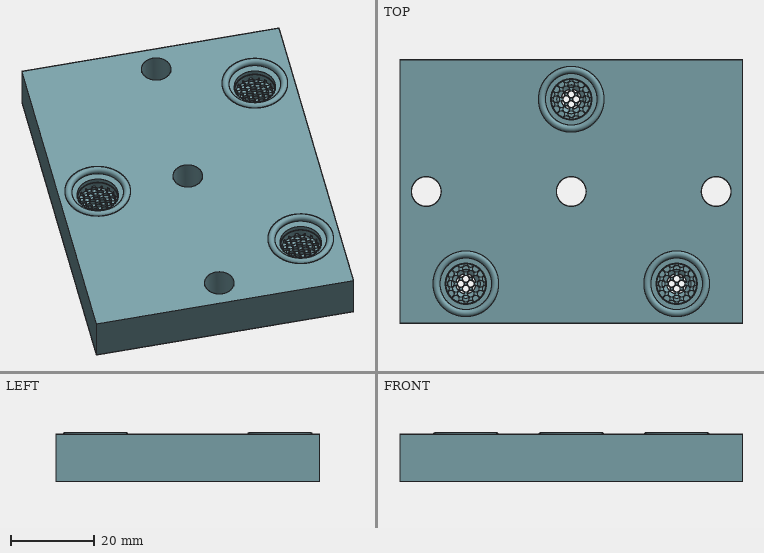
import cadquery as cq
import math

INCH = 25.4

plate_length = 3.25 * INCH
plate_width = 2.5 * INCH
plate_height = 0.45 * INCH

mount_diameter = 0.28 * INCH
mount_pitch = 1.375 * INCH

port_offset_x = 1.0 * INCH
port_offset_y = 0.875 * INCH
port_centres = [
    (0, port_offset_y),
    (-port_offset_x, -port_offset_y),
    (port_offset_x, -port_offset_y),
]

ring_tube_diameter = 0.070 * INCH
ring_inner_diameter = 0.489 * INCH
ring_standout = 0.46
ring_press = 0.02
ring_radius = (ring_inner_diameter + ring_tube_diameter) / 2
ring_centre_z = plate_height + ring_standout - ring_tube_diameter / 2
groove_diameter = 15.85
groove_floor_z = plate_height + ring_standout - ring_tube_diameter + ring_press

bore_diameter = 9.95
bore_depth = 1.15
seat_diameter = 9.6
seat_depth = 1.14
screen_thickness = INCH / 32
cone_diameter = 7.0
cone_angle = 118
outlet_diameter = 0.1875 * INCH
bore_floor_z = groove_floor_z - bore_depth
screen_top_z = bore_floor_z - seat_depth
screen_bottom_z = screen_top_z - screen_thickness

grid_step = 3 / 64 * INCH
perforation_diameter = 0.0625 * INCH
smallest_sliver = 0.1


def make_plate():
    plate = cq.Workplane("XY").box(plate_length, plate_width, plate_height, centered=(True, True, False))
    mount_points = [(side * mount_pitch, 0) for side in (-1, 0, 1)]
    mount_holes = cq.Workplane("XY").pushPoints(mount_points).circle(mount_diameter / 2).extrude(plate_height)
    return plate.cut(mount_holes)


def make_seal_ring():
    """Torus around the port axis."""
    return (
        cq.Workplane("XZ")
        .center(ring_radius, ring_centre_z)
        .circle(ring_tube_diameter / 2)
        .revolve(360, (-ring_radius, 0), (-ring_radius, 1))
    )


def make_cylinder(diameter, bottom_z, top_z):
    return cq.Workplane("XY", origin=(0, 0, bottom_z)).circle(diameter / 2).extrude(top_z - bottom_z)


def perforation_points():
    """Grid points with an odd index sum whose perforation reaches into the seat."""
    reach = (seat_diameter + perforation_diameter) / 2 - smallest_sliver
    count = math.ceil(reach / grid_step)
    points = []
    for column in range(-count, count + 1):
        for row in range(-count, count + 1):
            x = column * grid_step
            y = row * grid_step
            if (column + row) % 2 == 1 and math.hypot(x, y) < reach:
                points.append((x, y))
    return points


def make_perforations():
    """Holes through the screen, trimmed to the seat."""
    holes = (
        cq.Workplane("XY", origin=(0, 0, screen_bottom_z))
        .pushPoints(perforation_points())
        .circle(perforation_diameter / 2)
        .extrude(screen_thickness)
    )
    return holes.intersect(make_cylinder(seat_diameter, screen_bottom_z, screen_top_z))


def make_outlet():
    """Cone under the screen, narrowing like a drill point to a hole through the underside."""
    cone_radius = cone_diameter / 2
    outlet_radius = outlet_diameter / 2
    cone_depth = (cone_radius - outlet_radius) / math.tan(math.radians(cone_angle / 2))
    cone_bottom_z = screen_bottom_z - cone_depth
    return (
        cq.Workplane("XZ")
        .moveTo(0, 0)
        .lineTo(outlet_radius, 0)
        .lineTo(outlet_radius, cone_bottom_z)
        .lineTo(cone_radius, screen_bottom_z)
        .lineTo(0, screen_bottom_z)
        .close()
        .revolve(360, (0, 0), (0, 1))
    )


def make_port_cavity():
    """Space removed from the plate at a port, from the groove to the outlet."""
    groove = make_cylinder(groove_diameter, groove_floor_z, plate_height)
    bore = make_cylinder(bore_diameter, bore_floor_z, groove_floor_z)
    seat = make_cylinder(seat_diameter, screen_top_z, bore_floor_z)
    return groove.union(bore).union(seat).union(make_perforations()).union(make_outlet())


result = make_plate()
seal_ring = make_seal_ring()
port_cavity = make_port_cavity()
for centre_x, centre_y in port_centres:
    position = (centre_x, centre_y, 0)
    result = result.cut(port_cavity.translate(position)).union(seal_ring.translate(position))